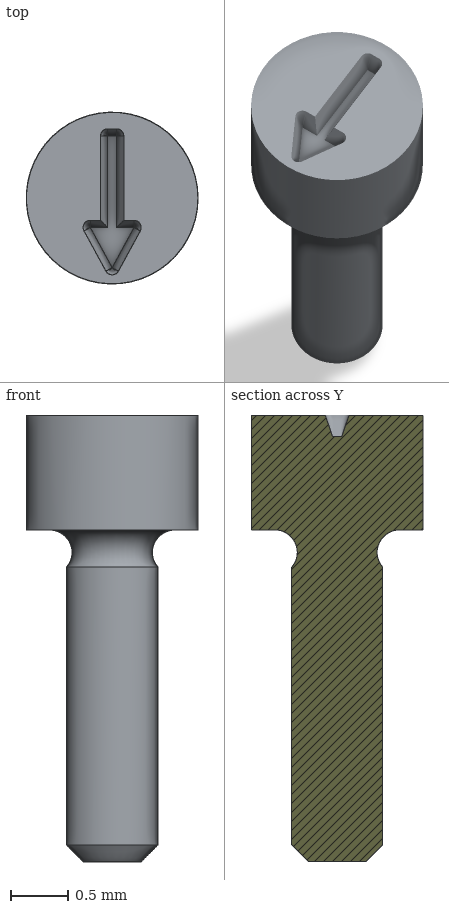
import cadquery as cq
import math

total_length = 3.9
head_radius = 1.5 / 2
head_height = 1.002
shank_radius = 0.8 / 2
tip_chamfer = 0.15

neck_radius = 0.35
neck_arc_radius = 0.195

arrow_depth = 0.185
wall_spread = 0.062
arrow_tail_y = 0.542
arrow_shoulder_y = -0.257
arrow_point_y = -0.61
arrow_stem_half_width = 0.04
arrow_head_half_width = 0.19


def make_body():
    """Revolve the half profile of head, neck, shank and chamfered tip about Z."""
    head_bottom = total_length - head_height
    arc_center_r = neck_radius + neck_arc_radius
    arc_center_z = head_bottom - neck_arc_radius

    arc_drop = math.sqrt(neck_arc_radius**2 - (arc_center_r - shank_radius) ** 2)
    shank_top = arc_center_z - arc_drop

    return (
        cq.Workplane("XZ")
        .moveTo(0, 0)
        .lineTo(shank_radius - tip_chamfer, 0)
        .lineTo(shank_radius, tip_chamfer)
        .lineTo(shank_radius, shank_top)
        .threePointArc((neck_radius, arc_center_z), (arc_center_r, head_bottom))
        .lineTo(head_radius, head_bottom)
        .lineTo(head_radius, total_length)
        .lineTo(0, total_length)
        .close()
        .revolve(360, (0, 0, 0), (0, 1, 0))
    )


def make_arrow_pocket():
    """Arrow pointing to -Y that widens upward, rounding its outer corners."""
    right_side = [
        (arrow_stem_half_width, arrow_tail_y),
        (arrow_stem_half_width, arrow_shoulder_y),
        (arrow_head_half_width, arrow_shoulder_y),
    ]
    left_side = [(-x, y) for x, y in reversed(right_side)]
    outline = right_side + [(0, arrow_point_y)] + left_side
    wall_angle = math.degrees(math.atan2(wall_spread, arrow_depth))

    return (
        cq.Workplane("XY")
        .workplane(offset=total_length - arrow_depth)
        .polyline(outline)
        .close()
        .extrude(arrow_depth, taper=-wall_angle)
    )


result = make_body().cut(make_arrow_pocket())